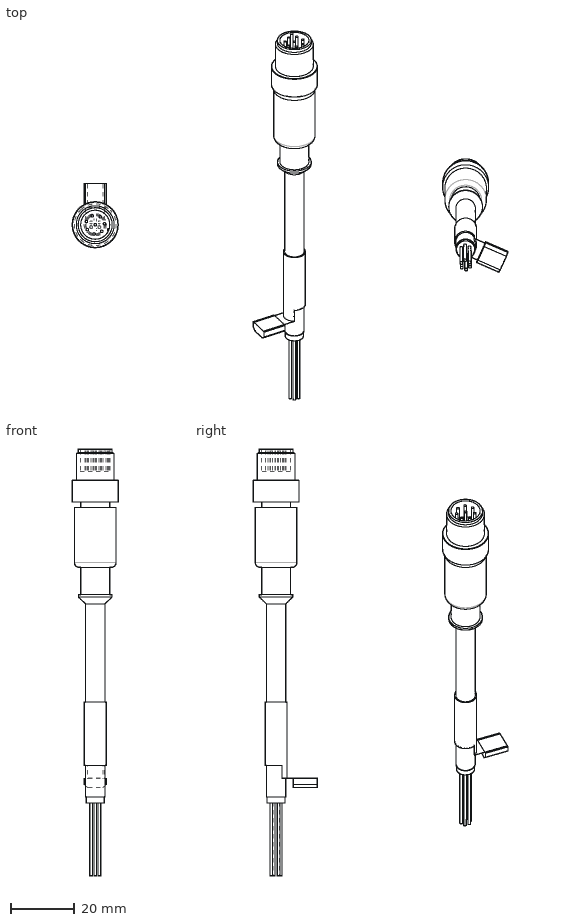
import cadquery as cq
import math

TOTAL_LENGTH = 135.0
TOTAL_DEPTH = 20.4

NOSE_DIA = 10.77
BORE_DIA = 9.2
THREAD_DIA = 12.0
COLLAR_DIA = 14.6
COLLAR_CHAMFER = 0.15
NECK_DIA = 9.2
BODY_DIA = 13.2
BODY_BOTTOM_FILLET = 1.5
FLANGE_DIA = 10.7
CABLE_DIA = 6.2
SLEEVE_DIA = 7.0
CABLE_END_DIA = 5.8

NOSE_SHOULDER = 1.0
THREAD_TOP = 1.4
COLLAR_TOP = 9.8
COLLAR_BOTTOM = 16.7
BODY_TOP = 18.4
BODY_BOTTOM = 37.4
FLANGE_TOP = 46.0
FLANGE_BOTTOM = 46.8
STRAIN_RELIEF_END = 48.9
SLEEVE_TOP = 80.0
SLEEVE_BOTTOM = 100.0
JACKET_END = 110.0
CABLE_END = 112.0

BORE_DEPTH = 7.0
PIN_DIA = 0.8
PIN_RECESS = 0.5
RING_PIN_COUNT = 7
PIN_CIRCLE_RADIUS = 2.95
KEY_ANGLE = -20.0
KEY_DIA = 0.9

WIRE_DIA = 0.9
WIRE_COUNT = 6
WIRE_CIRCLE_RADIUS = 1.5

SHELL_FRONT_Y = 1.8
TAB_TOP = 104.2
TAB_HEIGHT = 2.9
TAB_FLANK_HEIGHT = 1.8
TAB_WIDTH = 7.0
TAB_LENGTH = 7.7
TAB_END_Y = TOTAL_DEPTH - COLLAR_DIA / 2
HINGE_THICKNESS = 0.1
HINGE_WIDTH = 6.0


def cylinder(diameter, top, bottom, x=0.0, y=0.0):
    """Vertical cylinder between two distances below the connector top."""
    base = cq.Workplane("XY", origin=(x, y, TOTAL_LENGTH - bottom))
    return base.circle(diameter / 2).extrude(bottom - top)


def frustum(top_dia, bottom_dia, top, bottom):
    """Vertical cone section between two distances below the connector top."""
    base = cq.Workplane("XY", origin=(0, 0, TOTAL_LENGTH - bottom)).circle(bottom_dia / 2)
    return base.workplane(offset=bottom - top).circle(top_dia / 2).loft(ruled=True)


def circle_points(count, radius, start_angle):
    """Points evenly spaced on a circle around the Z axis."""
    angles = [math.radians(start_angle + 360.0 * i / count) for i in range(count)]
    return [(radius * math.cos(a), radius * math.sin(a)) for a in angles]


def make_connector():
    """Threaded plug, collar, moulded body and flanged strain relief."""
    connector = cylinder(NOSE_DIA, 0, NOSE_SHOULDER)
    connector = connector.union(frustum(NOSE_DIA, THREAD_DIA, NOSE_SHOULDER, THREAD_TOP))
    connector = connector.union(cylinder(THREAD_DIA, THREAD_TOP, COLLAR_TOP))
    collar = cylinder(COLLAR_DIA, COLLAR_TOP, COLLAR_BOTTOM).faces(">Z").edges().chamfer(COLLAR_CHAMFER)
    connector = connector.union(collar)
    connector = connector.union(cylinder(NECK_DIA, COLLAR_BOTTOM, FLANGE_TOP))
    body = cylinder(BODY_DIA, BODY_TOP, BODY_BOTTOM).faces("<Z").edges().fillet(BODY_BOTTOM_FILLET)
    connector = connector.union(body)
    connector = connector.union(cylinder(FLANGE_DIA, FLANGE_TOP, FLANGE_BOTTOM))
    connector = connector.union(frustum(FLANGE_DIA, CABLE_DIA, FLANGE_BOTTOM, STRAIN_RELIEF_END))
    return connector.cut(cylinder(BORE_DIA, 0, BORE_DEPTH))


def make_contacts():
    """Contact pins and the coding key on the bore wall."""
    half_pitch = 180.0 / RING_PIN_COUNT
    contacts = cylinder(PIN_DIA, PIN_RECESS, BORE_DEPTH)
    for x, y in circle_points(RING_PIN_COUNT, PIN_CIRCLE_RADIUS, KEY_ANGLE + half_pitch):
        contacts = contacts.union(cylinder(PIN_DIA, PIN_RECESS, BORE_DEPTH, x, y))
    key_x, key_y = circle_points(1, BORE_DIA / 2, KEY_ANGLE)[0]
    return contacts.union(cylinder(KEY_DIA, PIN_RECESS, BORE_DEPTH, key_x, key_y))


def make_cable():
    """Jacketed cable with its sleeve and stepped end."""
    cable = cylinder(CABLE_DIA, FLANGE_BOTTOM, JACKET_END)
    cable = cable.union(cylinder(SLEEVE_DIA, SLEEVE_TOP, SLEEVE_BOTTOM))
    return cable.union(cylinder(CABLE_END_DIA, JACKET_END, CABLE_END))


def make_wires():
    """Loose wires leaving the cable end."""
    wires = cq.Workplane("XY").pushPoints(circle_points(WIRE_COUNT, WIRE_CIRCLE_RADIUS, 90.0))
    return wires.circle(WIRE_DIA / 2).extrude(TOTAL_LENGTH - CABLE_END)


def make_label_holder():
    """Rear shell below the sleeve, carrying a tab under a thin hinge strip."""
    rear_region = cq.Workplane("XY").box(
        SLEEVE_DIA, SLEEVE_DIA, TOTAL_LENGTH, centered=(True, False, False)
    ).translate((0, SHELL_FRONT_Y, 0))
    shell = cylinder(SLEEVE_DIA, SLEEVE_BOTTOM, TAB_TOP).intersect(rear_region)

    top_z = TOTAL_LENGTH - TAB_TOP
    half_width = TAB_WIDTH / 2
    half_base = half_width - (TAB_HEIGHT - TAB_FLANK_HEIGHT)
    profile = [
        (-half_width, top_z),
        (half_width, top_z),
        (half_width, top_z - TAB_FLANK_HEIGHT),
        (half_base, top_z - TAB_HEIGHT),
        (-half_base, top_z - TAB_HEIGHT),
        (-half_width, top_z - TAB_FLANK_HEIGHT),
    ]
    tab = cq.Workplane("XZ", origin=(0, TAB_END_Y, 0)).polyline(profile).close().extrude(TAB_LENGTH)

    hinge_length = TAB_END_Y - SHELL_FRONT_Y
    hinge = cq.Workplane("XY").box(
        HINGE_WIDTH, hinge_length, HINGE_THICKNESS, centered=(True, False, False)
    ).translate((0, SHELL_FRONT_Y, top_z))
    return shell.union(tab).union(hinge)


result = make_connector().union(make_contacts()).union(make_cable())
result = result.union(make_wires()).union(make_label_holder())